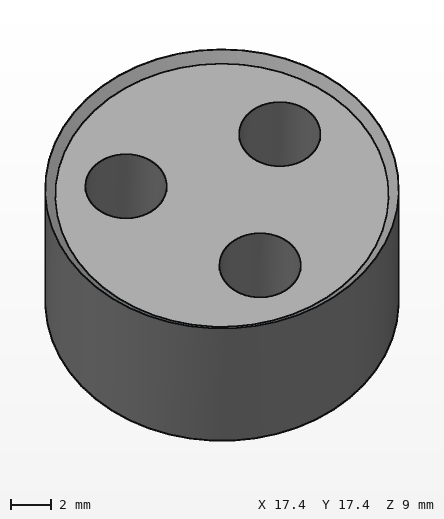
import cadquery as cq

body_diameter = 17.4
body_height = 9.0

recess_depth = 0.5
recess_floor_diameter = body_diameter - 2 * recess_depth

hole_count = 3
hole_diameter = 4.0
hole_circle_radius = 4.75
first_hole_angle = 90

floor_height = body_height - recess_depth

body = cq.Workplane("XY").circle(body_diameter / 2).extrude(body_height)

recess = (
    cq.Workplane("XY")
    .workplane(offset=floor_height)
    .circle(recess_floor_diameter / 2)
    .workplane(offset=recess_depth)
    .circle(body_diameter / 2)
    .loft(ruled=True)
)

holes = (
    cq.Workplane("XY")
    .polarArray(hole_circle_radius, first_hole_angle, 360, hole_count)
    .circle(hole_diameter / 2)
    .extrude(body_height)
)

result = body.cut(recess).cut(holes)